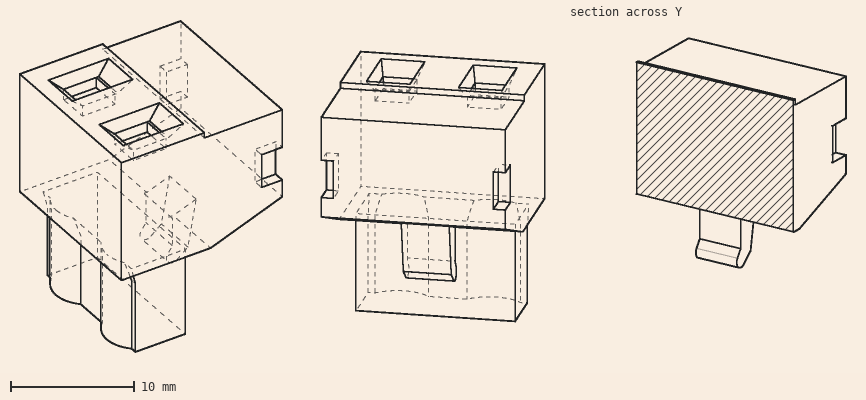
import cadquery as cq
import math


total_height = 19.85
housing_width = 15.25
housing_depth = 15.5
housing_bottom = 8.34
top_step_y = 8.0
top_step_drop = 0.5
slope_start_y = 8.6
slope_end_z = 10.84

pole_pitch = 7.62
pole_positions = (-pole_pitch / 2, pole_pitch / 2)

notch_depth = 2.0
notch_height = 3.2
notch_bottom = 12.49
notch_width = 1.0

entry_center_y = 4.37
entry_width = 3.6
entry_length = 5.8
entry_throat_width = 2.8
entry_throat_length = 3.4
entry_taper_depth = 1.11
entry_ledge = 0.24
entry_pocket_depth = 1.0

plug_width = 13.2
plug_front_y = 2.0
plug_back_y = 6.8
plug_slope_start_z = 6.69
plug_slope_rise_y = 0.42
sleeve_radius = 3.0
sleeve_front_y = 1.03

latch_width = 3.97
latch_front_y = 8.52
latch_back_top_y = 10.8
latch_heel = (10.0, 4.75)
latch_knee_z = 5.42
latch_tip_center = (8.58, 4.39)
latch_tip_radius = 0.64
latch_root_radius = 0.35


def side_extrusion(outline, width):
    """Extrude an outline drawn in (Y, Z) evenly to both sides of X = 0."""
    return outline.close().extrude(width / 2, both=True)


def housing():
    low_top = total_height - top_step_drop
    outline = cq.Workplane("YZ").polyline([
        (0, housing_bottom),
        (slope_start_y, housing_bottom),
        (housing_depth, slope_end_z),
        (housing_depth, low_top),
        (top_step_y, low_top),
        (top_step_y, total_height),
        (0, total_height),
    ])
    return side_extrusion(outline, housing_width)


def side_notch(side):
    """Notch in the back edge; side is -1 for the -X side and 1 for the +X side."""
    return cq.Workplane("XY").box(notch_width, notch_depth, notch_height).translate((
        side * (housing_width - notch_width) / 2,
        housing_depth - notch_depth / 2,
        notch_bottom + notch_height / 2,
    ))


def wire_entry(pole_x):
    """Tapered mouth, then a straight pocket that leaves a narrow ledge at the back."""
    throat_z = total_height - entry_taper_depth
    mouth = (
        cq.Workplane("XY", origin=(pole_x, entry_center_y, total_height))
        .rect(entry_width, entry_length)
        .workplane(offset=-entry_taper_depth)
        .rect(entry_throat_width, entry_throat_length)
        .loft(ruled=True)
    )
    pocket = (
        cq.Workplane("XY", origin=(pole_x, entry_center_y - entry_ledge / 2, throat_z))
        .rect(entry_throat_width, entry_throat_length - entry_ledge)
        .extrude(-entry_pocket_depth)
    )
    return mouth.union(pocket)


def plug_core():
    """Block whose front face leans forward near the housing."""
    outline = cq.Workplane("YZ").polyline([
        (plug_back_y, 0),
        (plug_front_y, 0),
        (plug_front_y, plug_slope_start_z),
        (plug_front_y - plug_slope_rise_y, housing_bottom),
        (plug_back_y, housing_bottom),
    ])
    return side_extrusion(outline, plug_width)


def contact_sleeve(pole_x):
    """Round front of a contact chamber, cut off at the front face of the plug core."""
    cylinder = (
        cq.Workplane("XY", origin=(pole_x, sleeve_front_y + sleeve_radius, 0))
        .circle(sleeve_radius)
        .extrude(housing_bottom)
    )
    front_zone = cq.Workplane("XY").box(
        housing_width, plug_front_y, housing_bottom, centered=(True, False, False)
    )
    return cylinder.intersect(front_zone)


def tip_tangent_point(point, side):
    """Where the line from a point touches the latch tip; side (-1 or 1) picks the tangent."""
    center_y, center_z = latch_tip_center
    offset_y = point[0] - center_y
    offset_z = point[1] - center_z
    distance = math.hypot(offset_y, offset_z)
    angle = math.atan2(offset_z, offset_y) + side * math.acos(latch_tip_radius / distance)
    return (
        center_y + latch_tip_radius * math.cos(angle),
        center_z + latch_tip_radius * math.sin(angle),
    )


def latch():
    """Hook with a rounded tip; its root runs up into the sloped housing bottom."""
    knee = (latch_front_y, latch_knee_z)
    lower_tangent = tip_tangent_point(latch_heel, -1)
    upper_tangent = tip_tangent_point(knee, 1)
    center_y, center_z = latch_tip_center
    tip_bottom = (center_y, center_z - latch_tip_radius)
    root_end_y = latch_front_y - latch_root_radius
    slope = (slope_end_z - housing_bottom) / (housing_depth - slope_start_y)
    back_top_z = housing_bottom + slope * (latch_back_top_y - slope_start_y)
    outline = (
        cq.Workplane("YZ")
        .moveTo(latch_back_top_y, back_top_z)
        .lineTo(*latch_heel)
        .lineTo(*lower_tangent)
        .threePointArc(tip_bottom, upper_tangent)
        .lineTo(*knee)
        .lineTo(latch_front_y, housing_bottom - latch_root_radius)
        .radiusArc((root_end_y, housing_bottom), -latch_root_radius)
        .lineTo(root_end_y, back_top_z)
    )
    return side_extrusion(outline, latch_width)


result = housing().union(plug_core()).union(latch())
for side in (-1, 1):
    result = result.cut(side_notch(side))
for pole_x in pole_positions:
    result = result.union(contact_sleeve(pole_x)).cut(wire_entry(pole_x))